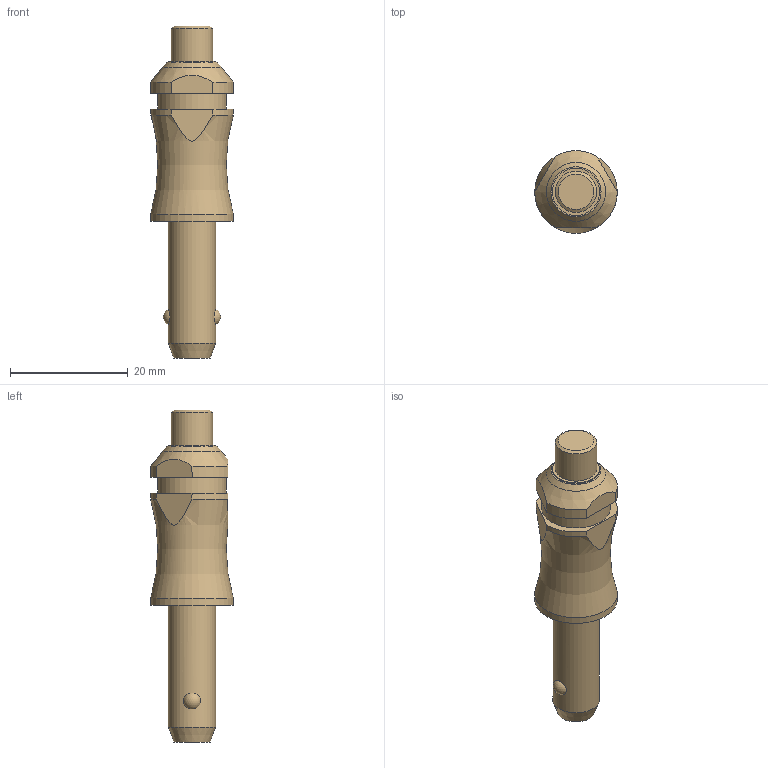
import cadquery as cq
import math


shank_radius = 4.0
shank_length = 23.2
tip_length = 2.5
tip_radius = 3.1

ball_radius = 1.5
ball_projection = 0.85
ball_depth = 16.25

handle_radius = 7.0
waist_radius = 5.8
lower_rim_height = 1.2
upper_rim_height = 1.0
grip_top = 19.0
grip_arc_top = grip_top - upper_rim_height
waist_height = (lower_rim_height + grip_arc_top) / 2

groove_width = 2.7
head_bottom = grip_top + groove_width
head_rim_height = 1.9
head_rim_top = head_bottom + head_rim_height
head_shoulder_radius = 5.0
head_shoulder_height = 2.45
head_shoulder_top = head_rim_top + head_shoulder_height
head_top_radius = 4.25
head_chamfer_height = 0.9
head_top = head_shoulder_top + head_chamfer_height

flat_count = 3
flat_distance = handle_radius * math.cos(math.pi / 6)
first_flat_angle = -90

collar_radius = 4.0
collar_top = 27.1

button_radius = 3.5
button_top = 33.1
button_chamfer_width = 0.5
button_chamfer_height = 0.35


def revolve_about_z(profile):
    """Turn an XZ half profile, left open along the axis, into a solid."""
    return profile.close().revolve(360, (0, 0), (0, 1))


def make_shank():
    """Round shank with a tapered tip, reaching into the handle."""
    profile = (
        cq.Workplane("XZ")
        .moveTo(0, -shank_length)
        .lineTo(tip_radius, -shank_length)
        .lineTo(shank_radius, tip_length - shank_length)
        .lineTo(shank_radius, lower_rim_height)
        .lineTo(0, lower_rim_height)
    )
    return revolve_about_z(profile)


def make_handle():
    """Waisted grip, groove and conical head."""
    half_height = (grip_arc_top - lower_rim_height) / 2
    flare = handle_radius - waist_radius
    arc_radius = (half_height**2 + flare**2) / (2 * flare)
    profile = (
        cq.Workplane("XZ")
        .lineTo(handle_radius, 0)
        .lineTo(handle_radius, lower_rim_height)
        .radiusArc((waist_radius, waist_height), arc_radius)
        .radiusArc((handle_radius, grip_arc_top), arc_radius)
        .lineTo(handle_radius, grip_top)
        .lineTo(waist_radius, grip_top)
        .lineTo(waist_radius, head_bottom)
        .lineTo(handle_radius, head_bottom)
        .lineTo(handle_radius, head_rim_top)
        .lineTo(head_shoulder_radius, head_shoulder_top)
        .lineTo(head_top_radius, head_top)
        .lineTo(0, head_top)
    )
    return revolve_about_z(profile)


def cut_flats(handle):
    """Trim the handle above its waist with evenly spaced flats parallel to Z."""
    cutter = (
        cq.Workplane("XY")
        .box(handle_radius, 2 * handle_radius, head_top - waist_height, centered=(False, True, False))
        .translate((flat_distance, 0, waist_height))
    )
    for index in range(flat_count):
        angle = first_flat_angle + index * 360 / flat_count
        handle = handle.cut(cutter.rotate((0, 0, 0), (0, 0, 1), angle))
    return handle


def make_collar():
    """Thin ring standing just proud of the head."""
    return cq.Workplane("XY").workplane(offset=grip_top).circle(collar_radius).extrude(collar_top - grip_top)


def make_button():
    """Push button with a chamfered top edge."""
    profile = (
        cq.Workplane("XZ")
        .moveTo(0, grip_top)
        .lineTo(button_radius, grip_top)
        .lineTo(button_radius, button_top - button_chamfer_height)
        .lineTo(button_radius - button_chamfer_width, button_top)
        .lineTo(0, button_top)
    )
    return revolve_about_z(profile)


def make_ball(side):
    """Locking ball on the +X (side = 1) or -X (side = -1) flank of the shank."""
    center_distance = shank_radius + ball_projection - ball_radius
    return cq.Workplane("XY").sphere(ball_radius).translate((side * center_distance, 0, -ball_depth))


result = (
    cut_flats(make_handle())
    .union(make_shank())
    .union(make_collar())
    .union(make_button())
    .union(make_ball(1))
    .union(make_ball(-1))
)